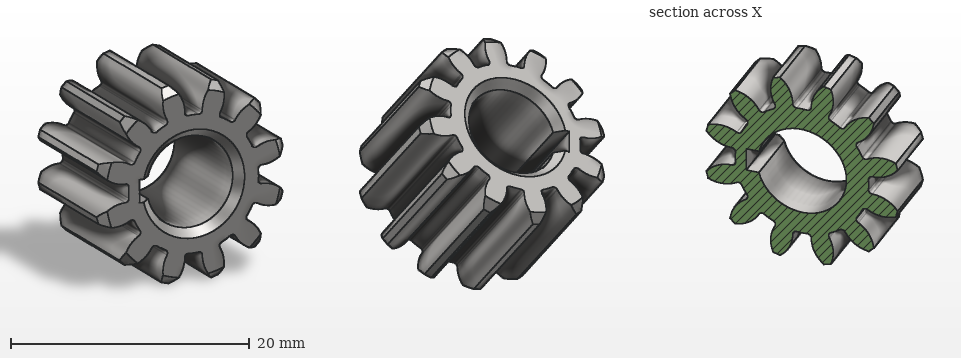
import cadquery as cq
import math

width = 12.7
tooth_count = 12
tip_radius = 8.9
root_radius = 6.05
end_chamfer = 0.75

gap_half_width = 0.81
tip_half_angle = 2.1
root_fillet = 0.31

bore_radius = 4.0
keyway_width = 2.01
keyway_reach = 5.01

pitch_angle = 360 / tooth_count


def mirrored(point):
    """Point reflected across the gap centreline, which is the local Y axis of the sketch."""
    return (-point[0], point[1])


def turned(point, degrees):
    """Point rotated anticlockwise about the gear axis."""
    angle = math.radians(degrees)
    x, y = point
    return (x * math.cos(angle) - y * math.sin(angle), x * math.sin(angle) + y * math.cos(angle))


def gear_blank():
    """Toothed outline, drawn gap by gap anticlockwise and extruded along X."""
    fillet_offset = gap_half_width - root_fillet
    fillet_centre = (fillet_offset, math.sqrt((root_radius + root_fillet) ** 2 - fillet_offset**2))
    fillet_angle = math.atan2(fillet_centre[1], fillet_centre[0])
    root_end = (root_radius * math.cos(fillet_angle), root_radius * math.sin(fillet_angle))
    middle_angle = (fillet_angle - math.pi) / 2
    fillet_middle = (
        fillet_centre[0] + root_fillet * math.cos(middle_angle),
        fillet_centre[1] + root_fillet * math.sin(middle_angle),
    )
    flank_foot = (gap_half_width, fillet_centre[1])
    tip_corner = turned((0, tip_radius), tip_half_angle - pitch_angle / 2)

    rise = tip_corner[1] - flank_foot[1]
    spread = tip_corner[0] - flank_foot[0]
    flank_radius = (rise**2 + spread**2) / (2 * spread)
    chord_lean = math.atan2(spread, rise)
    flank_middle = (
        flank_foot[0] + flank_radius * (1 - math.cos(chord_lean)),
        flank_foot[1] + flank_radius * math.sin(chord_lean),
    )
    tip_land_middle = turned((0, tip_radius), pitch_angle / 2)
    next_tip_corner = turned(tip_corner, pitch_angle)

    profile = cq.Workplane("YZ").moveTo(*tip_corner)
    for gap in range(tooth_count):

        def place(point):
            return turned(point, gap * pitch_angle)

        profile = (
            profile.threePointArc(place(flank_middle), place(flank_foot))
            .threePointArc(place(fillet_middle), place(root_end))
            .threePointArc(place((0, root_radius)), place(mirrored(root_end)))
            .threePointArc(place(mirrored(fillet_middle)), place(mirrored(flank_foot)))
            .threePointArc(place(mirrored(flank_middle)), place(mirrored(tip_corner)))
            .threePointArc(place(tip_land_middle), place(next_tip_corner))
        )
    return profile.close().extrude(width / 2, both=True)


def chamfered_envelope():
    """Cylinder with 45 degree ends that bevel the tooth tips; it clears the tips elsewhere."""
    clearance = 0.17
    leg = end_chamfer + clearance
    return (
        cq.Workplane("YZ").circle(tip_radius + clearance).extrude(width / 2, both=True)
        .faces("<X or >X").chamfer(leg)
    )


def bore():
    """Through bore with a conical mouth at both ends."""
    cylinder = cq.Workplane("YZ").circle(bore_radius).extrude(width / 2, both=True)
    mouth = (
        cq.Workplane("YZ", origin=(-width / 2, 0, 0))
        .circle(bore_radius + end_chamfer)
        .workplane(offset=end_chamfer)
        .circle(bore_radius)
        .loft()
    )
    return cylinder.union(mouth).union(mouth.mirror("YZ"))


def keyway():
    """Slot through the full width, open to the bore."""
    return cq.Workplane("XY").box(width, keyway_reach, keyway_width).translate((0, -keyway_reach / 2, 0))


result = gear_blank().intersect(chamfered_envelope()).cut(bore()).cut(keyway())